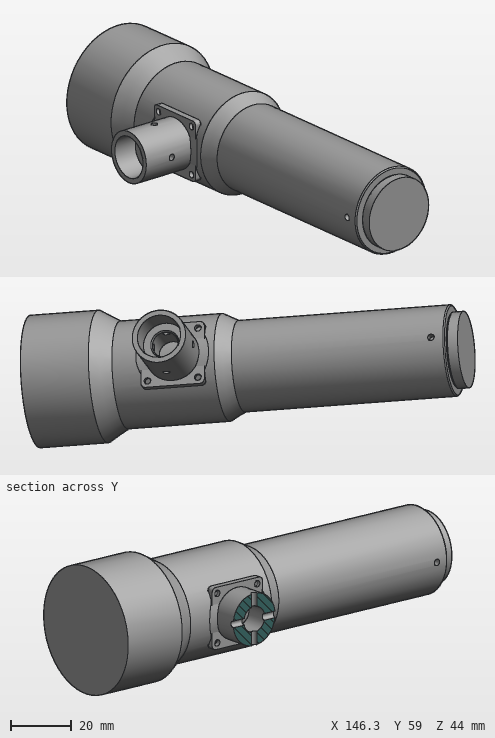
import cadquery as cq
import math

length = 146.3
front_radius = 44.0 / 2
middle_radius = 35.8 / 2
rear_radius = 30.4 / 2
end_ring_radius = 12.7
relief_radius = 12.3

front_cone_start = 23.1
front_cone_end = 30.1
rear_cone_start = 64.8
rear_cone_end = 70.0
rear_shoulder = 142.3
end_ring_start = 142.8
shoulder_chamfer = 0.5

lens_radius = 19.7
lens_sag = 0.3

screw_x = 137.8
screw_diameter = 2.2
screw_depth = 2.9
screw_angles = (60, 180, 300)

overall_depth = 59.0
connector_x = 50.6
flange_size = 21.5
flange_corner_radius = 1.5
flange_back = 14.9
flange_front = 17.3
flange_hole_spacing = 17.1
flange_hole_diameter = 2.2
saddle_diameter = 24.7

tube_end = overall_depth - front_radius
tube_radius = 18.1 / 2
tube_bore_radius = 7.3
tube_floor = 28.2
aperture_radius = 4.4
aperture_chamfer = 0.5
cross_hole_distance = 26.0
cross_hole_diameter = 2.2


def turned_blank():
    """Stepped outer shape of the housing, from its half profile."""
    return (
        cq.Workplane("XY")
        .moveTo(0, 0)
        .lineTo(0, front_radius)
        .lineTo(front_cone_start, front_radius)
        .lineTo(front_cone_end, middle_radius)
        .lineTo(rear_cone_start, middle_radius)
        .lineTo(rear_cone_end, rear_radius)
        .lineTo(rear_shoulder - shoulder_chamfer, rear_radius)
        .lineTo(rear_shoulder, rear_radius - shoulder_chamfer)
        .lineTo(rear_shoulder, relief_radius)
        .lineTo(end_ring_start, relief_radius)
        .lineTo(end_ring_start, end_ring_radius)
        .lineTo(length, end_ring_radius)
        .lineTo(length, 0)
        .close()
        .revolve(360, (0, 0, 0), (1, 0, 0))
    )


def lens_hollow():
    """Shallow spherical cap removed from the front face."""
    sphere_radius = (lens_radius**2 + lens_sag**2) / (2 * lens_sag)
    mid_y = lens_radius / 2
    mid_x = lens_sag - sphere_radius + math.sqrt(sphere_radius**2 - mid_y**2)
    return (
        cq.Workplane("XY")
        .moveTo(0, 0)
        .lineTo(lens_sag, 0)
        .threePointArc((mid_x, mid_y), (0, lens_radius))
        .close()
        .revolve(360, (0, 0, 0), (1, 0, 0))
    )


def screw_hole(angle):
    """Blind radial hole in the rear end."""
    return (
        cq.Workplane("XZ", origin=(screw_x, rear_radius - screw_depth, 0))
        .circle(screw_diameter / 2)
        .extrude(-2 * screw_depth)
        .rotate((0, 0, 0), (1, 0, 0), angle)
    )


def connector_plane(distance):
    """Workplane facing -Y, centred on the connector at a distance from the housing axis."""
    return cq.Workplane("XZ", origin=(connector_x, -distance, 0))


def connector_blank(blank):
    """Flange and tube, with a round saddle pad flush with the housing surface."""
    back = connector_plane(flange_back)
    saddle = back.circle(saddle_diameter / 2).extrude(middle_radius - flange_back).intersect(blank)
    flange = (
        back.rect(flange_size, flange_size)
        .extrude(flange_front - flange_back)
        .edges("|Y")
        .fillet(flange_corner_radius)
    )
    tube = back.circle(tube_radius).extrude(tube_end - flange_back)
    return flange.union(saddle).union(tube)


def flange_holes():
    """Four holes through the corners of the flange and the saddle beneath them."""
    return (
        connector_plane(flange_back)
        .rect(flange_hole_spacing, flange_hole_spacing, forConstruction=True)
        .vertices()
        .circle(flange_hole_diameter / 2)
        .extrude(middle_radius - flange_back)
    )


def tube_bore():
    """Bore from the tube mouth, and a chamfered aperture through its floor."""
    bore = connector_plane(tube_floor).circle(tube_bore_radius).extrude(tube_end - tube_floor)
    aperture = connector_plane(flange_back).circle(aperture_radius).extrude(tube_floor - flange_back)
    chamfer = (
        connector_plane(tube_floor)
        .circle(aperture_radius + aperture_chamfer)
        .extrude(-aperture_chamfer, taper=45)
    )
    return bore.union(aperture).union(chamfer)


def cross_hole(plane):
    """Hole right across the tube, normal to the given plane."""
    return (
        cq.Workplane(plane, origin=(connector_x, -cross_hole_distance, 0))
        .circle(cross_hole_diameter / 2)
        .extrude(tube_radius, both=True)
    )


def make_connector(blank):
    """Finished connector; the housing blank shapes its saddle."""
    body = connector_blank(blank).cut(flange_holes()).cut(tube_bore())
    for plane in ("XY", "YZ"):
        body = body.cut(cross_hole(plane))
    return body


def make_housing(blank, connector):
    """Turned body with its lens face, screw holes and connector recess."""
    body = blank.cut(lens_hollow())
    for angle in screw_angles:
        body = body.cut(screw_hole(angle))
    return body.cut(connector)


blank = turned_blank()
connector = make_connector(blank)
housing = make_housing(blank, connector)

result = cq.Compound.makeCompound([housing.val(), connector.val()])